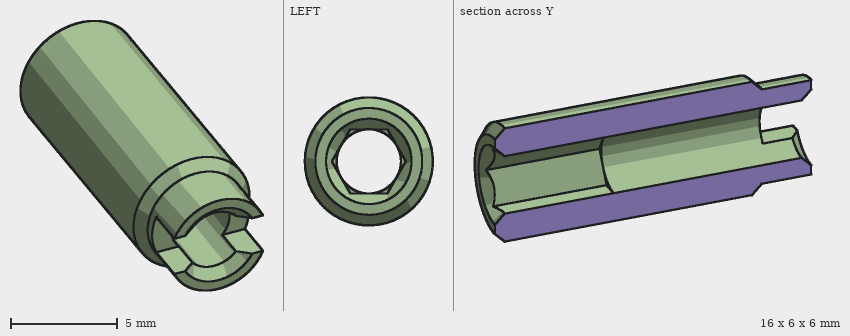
import cadquery as cq
import math

length = 16.0
body_diameter = 6.0
countersink_diameter = 4.0
slot_width = 2.0
slot_depth = 2.0
socket_depth = 6.0

chamfer = (body_diameter - countersink_diameter) / 4
neck_diameter = body_diameter - 2 * chamfer
neck_length = slot_depth + chamfer
shoulder_x = length - neck_length

bore_diameter = countersink_diameter - 2 * chamfer
hex_corner_diameter = bore_diameter / math.cos(math.pi / 6)


def make_outer_body():
    """Revolve the chamfered cylinder and its reduced neck about X."""
    body_radius = body_diameter / 2
    neck_radius = neck_diameter / 2
    profile = [
        (0, 0),
        (0, body_radius - chamfer),
        (chamfer, body_radius),
        (shoulder_x - chamfer, body_radius),
        (shoulder_x, neck_radius),
        (length, neck_radius),
        (length, 0),
    ]
    return cq.Workplane("XY").polyline(profile).close().revolve(360, (0, 0), (1, 0))


def make_bore():
    """Round bore through the full length."""
    return cq.Workplane("YZ").circle(bore_diameter / 2).extrude(length)


def make_hex_socket():
    """Hex socket with two corners on the Y axis."""
    return cq.Workplane("YZ").polygon(6, hex_corner_diameter).extrude(socket_depth)


def make_countersink(mouth_x, inward):
    """45 degree cone from its mouth to a point on the axis; inward is +1 or -1 along X."""
    radius = countersink_diameter / 2
    profile = [(mouth_x, 0), (mouth_x, radius), (mouth_x + inward * radius, 0)]
    return cq.Workplane("XY").polyline(profile).close().revolve(360, (0, 0), (1, 0))


def make_driver_slot():
    """Slot across the neck end, open along Y."""
    return cq.Workplane("XY").box(
        slot_depth, body_diameter, slot_width, centered=(False, True, True)
    ).translate((length - slot_depth, 0, 0))


result = (
    make_outer_body()
    .cut(make_bore())
    .cut(make_hex_socket())
    .cut(make_countersink(0, 1))
    .cut(make_countersink(length, -1))
    .cut(make_driver_slot())
)